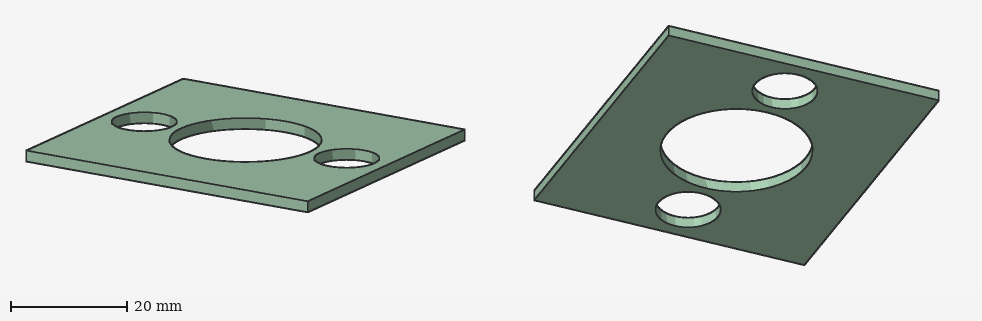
import cadquery as cq

plate_length = 57.15
plate_width = 50.8
plate_thickness = 2.0

center_hole_diameter = 26.2
side_hole_diameter = 11.2
side_hole_spacing = 41.1

plate = cq.Workplane("XY").box(plate_length, plate_width, plate_thickness)

plate = plate.faces(">Z").workplane().hole(center_hole_diameter)

side_hole_centers = [(-side_hole_spacing / 2, 0), (side_hole_spacing / 2, 0)]
result = plate.faces(">Z").workplane().pushPoints(side_hole_centers).hole(side_hole_diameter)